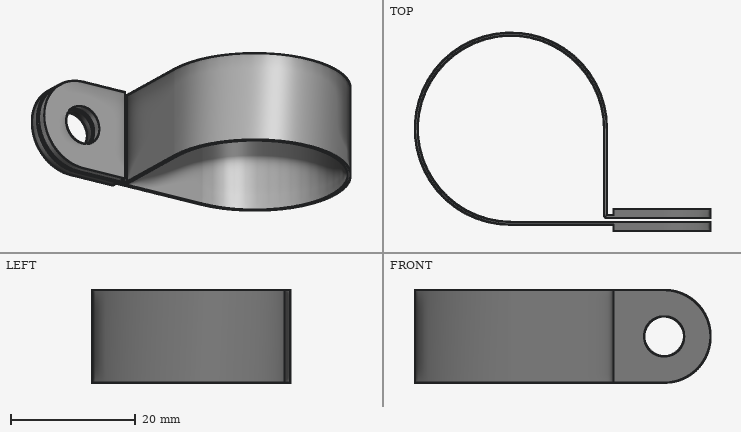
import cadquery as cq
import math

width = 15.0
band_thickness = 0.5
loop_inner_radius = 15.0
tab_thickness = 1.5
tab_gap = 0.6
tab_offset = 1.0
hole_offset = 24.7
hole_diameter = 6.4

loop_outer_radius = loop_inner_radius + band_thickness
tab_start_x = loop_outer_radius + tab_offset
tab_end_radius = width / 2
tab_end_x = hole_offset + tab_end_radius
lower_tab_top_y = -loop_inner_radius
lower_tab_bottom_y = lower_tab_top_y - tab_thickness
upper_tab_bottom_y = lower_tab_top_y + tab_gap
upper_tab_top_y = upper_tab_bottom_y + tab_thickness
upper_band_top_y = upper_tab_bottom_y + band_thickness
bend_radius = band_thickness


def arc_middle(radius):
    """Middle point of the three-quarter loop that is open toward +X and -Y."""
    offset = radius / math.sqrt(2)
    return (-offset, offset)


def make_strap():
    """Open loop with both ends thickened into tabs, extruded along the band width."""
    profile = (
        cq.Workplane("XY", origin=(0, 0, -width / 2))
        .moveTo(tab_end_x, lower_tab_bottom_y)
        .lineTo(tab_start_x, lower_tab_bottom_y)
        .lineTo(tab_start_x, -loop_outer_radius)
        .lineTo(0, -loop_outer_radius)
        .threePointArc(arc_middle(loop_outer_radius), (loop_outer_radius, 0))
        .lineTo(loop_outer_radius, upper_band_top_y)
        .lineTo(tab_start_x, upper_band_top_y)
        .lineTo(tab_start_x, upper_tab_top_y)
        .lineTo(tab_end_x, upper_tab_top_y)
        .lineTo(tab_end_x, upper_tab_bottom_y)
        .lineTo(loop_inner_radius + bend_radius, upper_tab_bottom_y)
        .radiusArc((loop_inner_radius, upper_tab_bottom_y + bend_radius), bend_radius)
        .lineTo(loop_inner_radius, 0)
        .threePointArc(arc_middle(loop_inner_radius), (0, -loop_inner_radius))
        .lineTo(tab_end_x, lower_tab_top_y)
        .close()
    )
    return profile.extrude(width)


def make_rounding_envelope():
    """Block seen along Y as a band with a semicircular end at the bolt hole."""
    envelope = (
        cq.Workplane("XZ", origin=(0, loop_outer_radius, 0))
        .moveTo(-loop_outer_radius, -width / 2)
        .lineTo(hole_offset, -width / 2)
        .threePointArc((tab_end_x, 0), (hole_offset, width / 2))
        .lineTo(-loop_outer_radius, width / 2)
        .close()
    )
    return envelope.extrude(loop_outer_radius - lower_tab_bottom_y)


def make_bolt_hole():
    """Cylinder along Y passing through both tabs."""
    return (
        cq.Workplane("XZ", origin=(hole_offset, upper_tab_top_y, 0))
        .circle(hole_diameter / 2)
        .extrude(upper_tab_top_y - lower_tab_bottom_y)
    )


result = make_strap().intersect(make_rounding_envelope()).cut(make_bolt_hole())